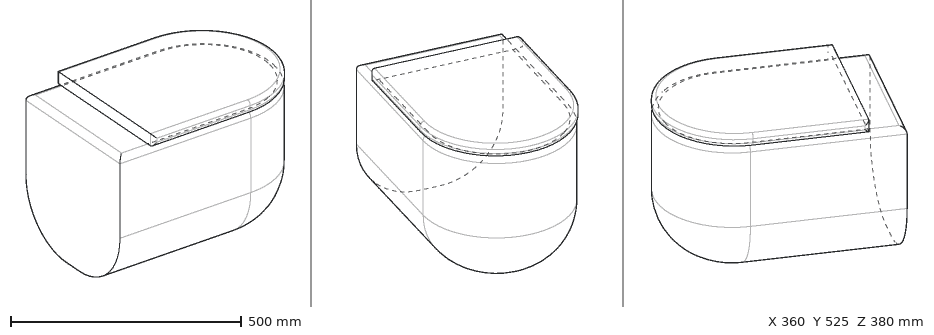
import cadquery as cq

total_length = 525.0
total_height = 380.0

body_width = 350.0
body_bottom_radius = 150.0
body_top_radius = 15.0

lid_width = 360.0
lid_length = 440.0
lid_thickness = 30.0
lid_edge_radius = 10.0

body_height = total_height - lid_thickness
back_y = total_length
lid_front_y = back_y - lid_length


def round_back_prism(width, front_y, bottom_z, height):
    """Upright prism with a straight front and a half-round back ending at back_y."""
    half_width = width / 2
    arc_start_y = back_y - half_width
    return (
        cq.Workplane("XY", origin=(0, 0, bottom_z))
        .moveTo(-half_width, front_y)
        .lineTo(half_width, front_y)
        .lineTo(half_width, arc_start_y)
        .threePointArc((0, back_y), (-half_width, arc_start_y))
        .close()
        .extrude(height)
    )


def make_body():
    """Body with a large round along the sides and back of its bottom, and a rounded top rim."""
    body = round_back_prism(body_width, 0, 0, body_height)
    body = body.faces("<Z").edges("not(<Y)").fillet(body_bottom_radius)
    return body.faces(">Z").edges().fillet(body_top_radius)


def make_lid():
    """Lid rounded all the way around its side wall; its front face keeps sharp top and bottom edges."""
    lid = round_back_prism(lid_width, lid_front_y, body_height, lid_thickness)
    top_and_bottom_rims = lid.faces("<Z or >Z").edges("not(<Y)")
    front_corners = lid.faces("<Y").edges("|Z")
    return lid.newObject(top_and_bottom_rims.vals() + front_corners.vals()).fillet(lid_edge_radius)


result = make_body().union(make_lid())